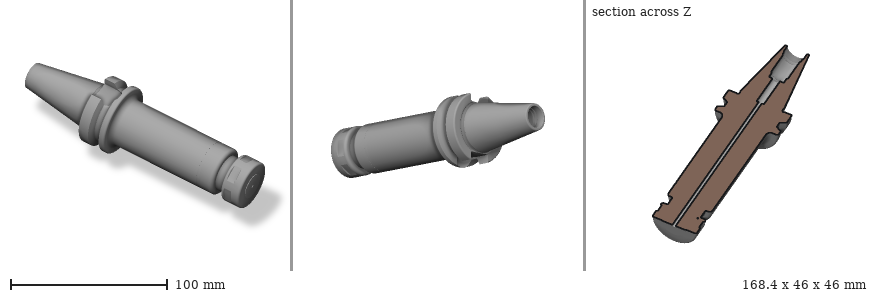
import cadquery as cq
import math

TOTAL_LENGTH = 168.4

SMALL_END_RADIUS = 9.0
SMALL_END_ROUND = 0.8
GAUGE_RADIUS = 16.0
TAPER_LENGTH = 48.3
NECK_RADIUS = 15.7
FLANGE_FRONT = 50.4
RELIEF_OUTER_RADIUS = 17.3
RELIEF_DEPTH = 0.3
RELIEF_ROUND = 1.2

FLANGE_RADIUS = 46.0 / 2
FLANGE_BACK = 70.0
FLANGE_ROUND = 1.0
GROOVE_RADIUS = 19.0
GROOVE_CENTRE = 62.0
GROOVE_FLOOR_WIDTH = 3.5
GROOVE_WALL_ANGLE = 60.0
FLANGE_BACK_FILLET = 3.0

SLOT_WIDTH = 15.7
SLOT_END = 67.4
SLOT_FLOOR_HEIGHT = 16.3

BODY_RADIUS = 32.0 / 2
BODY_END = 147.9
BODY_ROUND = 2.0
BODY_BAND_START = 135.5
BODY_BAND_WIDTH = 2.0
BODY_BAND_DEPTH = 0.08

SPINDLE_RADIUS = 24.0 / 2

NUT_START = 154.3
NUT_RADIUS = 32.0 / 2
NUT_ROUND = 1.7
NUT_FACE = 168.0
NUT_FACE_ROUND = 1.2
COLLET_RADIUS = 17.0 / 2

POCKET_COUNT = 6
POCKET_START = 156.8
POCKET_LENGTH = 5.2
POCKET_FLOOR_WIDTH = 10.8
POCKET_END_SLOPE = 0.5

BORE_MOUTH_RADIUS = 14.5 / 2
COUNTERBORE_RADIUS = 14.0 / 2
COUNTERBORE_DEPTH = 5.5
PILOT_RADIUS = 13.0 / 2
PILOT_DEPTH = 7.5
THREAD_RADIUS = 12.0 / 2
THREAD_DEPTH = 24.0
DRILL_RADIUS = 10.5 / 2
DRILL_DEPTH = 28.6
COOLANT_RADIUS = 5.0 / 2
COOLANT_DEPTH = 50.5
THROUGH_RADIUS = 2.0 / 2

ARC_INSET = 1 - math.sqrt(0.5)


def revolve_about_x(outline):
    """Solid turned from a closed outline of (x, radius) points."""
    return outline.close().revolve(360, (0, 0, 0), (1, 0, 0))


def turned_body():
    """Shank, flange, body and nut as one turned solid."""
    groove_half_floor = GROOVE_FLOOR_WIDTH / 2
    wall_run = (FLANGE_RADIUS - GROOVE_RADIUS) / math.tan(math.radians(GROOVE_WALL_ANGLE))
    groove_half_top = groove_half_floor + wall_run
    relief_face = FLANGE_FRONT + RELIEF_DEPTH
    fillet_top = BODY_RADIUS + FLANGE_BACK_FILLET
    band_radius = BODY_RADIUS - BODY_BAND_DEPTH
    band_end = BODY_BAND_START + BODY_BAND_WIDTH

    def corner(x, r, size, side):
        """Middle of a quarter-round at an outer corner; side is -1 for a front corner, 1 for a back one."""
        inset = size * ARC_INSET
        return (x - side * inset, r - inset)

    def hollow(x, r, size, side):
        """Middle of a concave quarter-round in an inner corner; side is where the wall stands."""
        inset = size * ARC_INSET
        return (x - side * inset, r + inset)

    outline = (
        cq.Workplane("XY")
        .moveTo(0, 0)
        .lineTo(0, SMALL_END_RADIUS - SMALL_END_ROUND)
        .threePointArc(
            corner(0, SMALL_END_RADIUS, SMALL_END_ROUND, -1),
            (SMALL_END_ROUND, SMALL_END_RADIUS),
        )
        .lineTo(TAPER_LENGTH, GAUGE_RADIUS)
        .lineTo(TAPER_LENGTH + GAUGE_RADIUS - NECK_RADIUS, NECK_RADIUS)
        .lineTo(relief_face - RELIEF_ROUND, NECK_RADIUS)
        .threePointArc(
            hollow(relief_face, NECK_RADIUS, RELIEF_ROUND, 1),
            (relief_face, NECK_RADIUS + RELIEF_ROUND),
        )
        .lineTo(FLANGE_FRONT, RELIEF_OUTER_RADIUS)
        .lineTo(FLANGE_FRONT, FLANGE_RADIUS - FLANGE_ROUND)
        .threePointArc(
            corner(FLANGE_FRONT, FLANGE_RADIUS, FLANGE_ROUND, -1),
            (FLANGE_FRONT + FLANGE_ROUND, FLANGE_RADIUS),
        )
        .lineTo(GROOVE_CENTRE - groove_half_top, FLANGE_RADIUS)
        .lineTo(GROOVE_CENTRE - groove_half_floor, GROOVE_RADIUS)
        .lineTo(GROOVE_CENTRE + groove_half_floor, GROOVE_RADIUS)
        .lineTo(GROOVE_CENTRE + groove_half_top, FLANGE_RADIUS)
        .lineTo(FLANGE_BACK - FLANGE_ROUND, FLANGE_RADIUS)
        .threePointArc(
            corner(FLANGE_BACK, FLANGE_RADIUS, FLANGE_ROUND, 1),
            (FLANGE_BACK, FLANGE_RADIUS - FLANGE_ROUND),
        )
        .lineTo(FLANGE_BACK, fillet_top)
        .threePointArc(
            hollow(FLANGE_BACK, BODY_RADIUS, FLANGE_BACK_FILLET, -1),
            (FLANGE_BACK + FLANGE_BACK_FILLET, BODY_RADIUS),
        )
        .lineTo(BODY_BAND_START, BODY_RADIUS)
        .lineTo(BODY_BAND_START, band_radius)
        .lineTo(band_end, band_radius)
        .lineTo(band_end, BODY_RADIUS)
        .lineTo(BODY_END - BODY_ROUND, BODY_RADIUS)
        .threePointArc(
            corner(BODY_END, BODY_RADIUS, BODY_ROUND, 1),
            (BODY_END, BODY_RADIUS - BODY_ROUND),
        )
        .lineTo(BODY_END, SPINDLE_RADIUS)
        .lineTo(NUT_START, SPINDLE_RADIUS)
        .lineTo(NUT_START, NUT_RADIUS - NUT_ROUND)
        .threePointArc(
            corner(NUT_START, NUT_RADIUS, NUT_ROUND, -1),
            (NUT_START + NUT_ROUND, NUT_RADIUS),
        )
        .lineTo(NUT_FACE - NUT_FACE_ROUND, NUT_RADIUS)
        .threePointArc(
            corner(NUT_FACE, NUT_RADIUS, NUT_FACE_ROUND, 1),
            (NUT_FACE, NUT_RADIUS - NUT_FACE_ROUND),
        )
        .lineTo(NUT_FACE, COLLET_RADIUS)
        .lineTo(TOTAL_LENGTH, COLLET_RADIUS)
        .lineTo(TOTAL_LENGTH, 0)
    )
    return revolve_about_x(outline)


def stepped_bore():
    """Hole along the whole axis, widest at the small end of the taper."""
    mouth_chamfer = BORE_MOUTH_RADIUS - COUNTERBORE_RADIUS
    lead_in = PILOT_RADIUS - THREAD_RADIUS
    thread_runout = THREAD_RADIUS - DRILL_RADIUS
    outline = cq.Workplane("XY").polyline([
        (0, 0),
        (0, BORE_MOUTH_RADIUS),
        (mouth_chamfer, COUNTERBORE_RADIUS),
        (COUNTERBORE_DEPTH, COUNTERBORE_RADIUS),
        (COUNTERBORE_DEPTH, PILOT_RADIUS),
        (PILOT_DEPTH, PILOT_RADIUS),
        (PILOT_DEPTH + lead_in, THREAD_RADIUS),
        (THREAD_DEPTH, THREAD_RADIUS),
        (THREAD_DEPTH + thread_runout, DRILL_RADIUS),
        (DRILL_DEPTH, DRILL_RADIUS),
        (DRILL_DEPTH, COOLANT_RADIUS),
        (COOLANT_DEPTH, COOLANT_RADIUS),
        (COOLANT_DEPTH, THROUGH_RADIUS),
        (TOTAL_LENGTH, THROUGH_RADIUS),
        (TOTAL_LENGTH, 0),
    ])
    return revolve_about_x(outline)


def drive_slot():
    """U-shaped slot above the flange, open towards the taper."""
    half_width = SLOT_WIDTH / 2
    straight_end = SLOT_END - half_width
    return (
        cq.Workplane("XY", origin=(0, 0, SLOT_FLOOR_HEIGHT))
        .moveTo(TAPER_LENGTH, -half_width)
        .lineTo(straight_end, -half_width)
        .threePointArc((SLOT_END, 0), (straight_end, half_width))
        .lineTo(TAPER_LENGTH, half_width)
        .close()
        .extrude(FLANGE_RADIUS)
    )


def spanner_pocket():
    """Flat on the -Y side of the nut whose two end walls lean outwards."""
    floor_radius = math.sqrt(NUT_RADIUS ** 2 - (POCKET_FLOOR_WIDTH / 2) ** 2)
    pocket_end = POCKET_START + POCKET_LENGTH
    return (
        cq.Workplane("XY")
        .polyline([
            (POCKET_START, -floor_radius),
            (pocket_end, -floor_radius),
            (pocket_end + POCKET_END_SLOPE, -NUT_RADIUS),
            (POCKET_START - POCKET_END_SLOPE, -NUT_RADIUS),
        ])
        .close()
        .extrude(NUT_RADIUS, both=True)
    )


result = turned_body().cut(stepped_bore())

for angle in (0, 180):
    result = result.cut(drive_slot().rotate((0, 0, 0), (1, 0, 0), angle))

for index in range(POCKET_COUNT):
    angle = index * 360 / POCKET_COUNT
    result = result.cut(spanner_pocket().rotate((0, 0, 0), (1, 0, 0), angle))